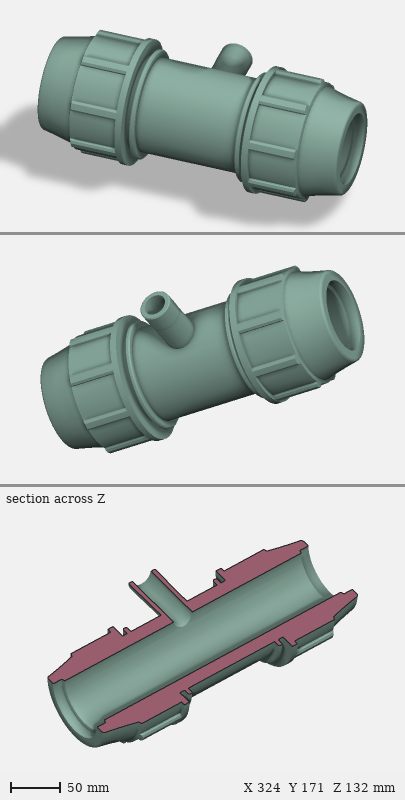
import cadquery as cq
import math

length = 324.0
half_length = length / 2

body_diameter = 99.0
bore_diameter = 67.5

socket_diameter = 75.0
socket_depth = 10.7
socket_cone_length = 1.3

nose_face_diameter = 91.5
nose_rim_diameter = 98.2
nose_rim_length = 3.2
nose_base_diameter = 114.7
nose_mid_diameter = 105.5
nose_length = 38.2
grip_diameter = 122.0
flange_start = 90.0
flange_end = 97.0
flange_diameter = 132.0

rib_count = 8
rib_diameter = 131.0
rib_front = 41.0
rib_width = 11.0
rib_bevel = 2.3
rib_root_overlap = 3.2

front_slope = (rib_front - nose_length) / (rib_diameter - nose_base_diameter)
grip_front = nose_length + front_slope * (grip_diameter - nose_base_diameter)

collar_start = 102.5
collar_end = 107.5
collar_diameter = 114.7
collar_chamfer = 1.3

branch_reach = 105.0
branch_root_diameter = 33.5
branch_tip_diameter = 34.0
branch_bore_diameter = 23.3
branch_tip_length = 19.5
branch_taper_length = 4.0
branch_tip_chamfer = 1.0


def axial_cylinder(diameter, start, end):
    """Solid cylinder along X between two places."""
    return cq.Workplane("YZ", origin=(start, 0, 0)).circle(diameter / 2).extrude(end - start)


def make_turned_nut(barrel_diameter, barrel_front):
    """Turned nut at the -X end: bulged nose, conical front face, grip barrel and flange."""
    rim_rounding = (nose_rim_diameter - nose_face_diameter) / 2
    rim_mid = math.sqrt(0.5)
    return (
        cq.Workplane("XY", origin=(-half_length, 0, 0))
        .moveTo(0, 0)
        .lineTo(0, nose_face_diameter / 2)
        .threePointArc(
            (nose_rim_length * (1 - rim_mid), nose_face_diameter / 2 + rim_rounding * rim_mid),
            (nose_rim_length, nose_rim_diameter / 2),
        )
        .threePointArc(
            ((nose_rim_length + nose_length) / 2, nose_mid_diameter / 2),
            (nose_length, nose_base_diameter / 2),
        )
        .lineTo(barrel_front, barrel_diameter / 2)
        .lineTo(flange_start, barrel_diameter / 2)
        .lineTo(flange_start, flange_diameter / 2)
        .lineTo(flange_end, flange_diameter / 2)
        .lineTo(flange_end, 0)
        .close()
        .revolve(360, (0, 0, 0), (1, 0, 0))
    )


def make_ribs():
    """Grip ribs with bevelled tops around the nut, sharing the nut's conical front face."""
    half_width = rib_width / 2
    half_top = half_width - rib_bevel
    root = nose_base_diameter / 2 - rib_root_overlap
    top = rib_diameter / 2
    shoulder = top - rib_bevel
    profile = [
        (root, -half_width),
        (shoulder, -half_width),
        (top, -half_top),
        (top, half_top),
        (shoulder, half_width),
        (root, half_width),
    ]
    rib_length = flange_start - nose_length
    rib = (
        cq.Workplane("YZ", origin=(nose_length - half_length, 0, 0))
        .polyline(profile)
        .close()
        .extrude(rib_length)
    )
    envelope = make_turned_nut(rib_diameter, rib_front)

    pitch = 360 / rib_count
    ribs = cq.Workplane("XY")
    for index in range(rib_count):
        ribs = ribs.add(rib.rotate((0, 0, 0), (1, 0, 0), (index + 0.5) * pitch))
    return ribs.combine().intersect(envelope)


def make_collar():
    """Ring around the body beside the nut, with both rims chamfered."""
    ring = axial_cylinder(collar_diameter, collar_start - half_length, collar_end - half_length)
    return ring.edges().chamfer(collar_chamfer)


def make_socket():
    """Cutter for the pipe entry at the -X end."""
    cone_end = socket_depth + socket_cone_length
    return (
        cq.Workplane("XY", origin=(-half_length, 0, 0))
        .lineTo(0, socket_diameter / 2)
        .lineTo(socket_depth, socket_diameter / 2)
        .lineTo(cone_end, bore_diameter / 2)
        .lineTo(cone_end, 0)
        .close()
        .revolve(360, (0, 0, 0), (1, 0, 0))
    )


def make_branch():
    """Side spigot, slightly thicker at its tip, with a chamfered end."""
    tip_radius = branch_tip_diameter / 2
    root_radius = branch_root_diameter / 2
    tip_start = branch_reach - branch_tip_length
    return (
        cq.Workplane("XY")
        .lineTo(root_radius, 0)
        .lineTo(root_radius, tip_start - branch_taper_length)
        .lineTo(tip_radius, tip_start)
        .lineTo(tip_radius, branch_reach - branch_tip_chamfer)
        .lineTo(tip_radius - branch_tip_chamfer, branch_reach)
        .lineTo(0, branch_reach)
        .close()
        .revolve(360, (0, 0, 0), (0, 1, 0))
    )


def on_both_ends(solid):
    """The given -X end feature together with its mirror at +X."""
    return solid.union(solid.mirror("YZ"))


nut = make_turned_nut(grip_diameter, grip_front).union(make_ribs())
body = axial_cylinder(body_diameter, flange_end - half_length, half_length - flange_end)
bore = axial_cylinder(bore_diameter, -half_length, half_length)
branch_bore = cq.Workplane("XZ").circle(branch_bore_diameter / 2).extrude(-branch_reach)

result = (
    body.union(on_both_ends(nut))
    .union(on_both_ends(make_collar()))
    .union(make_branch())
    .cut(bore)
    .cut(make_socket())
    .cut(make_socket().mirror("YZ"))
    .cut(branch_bore)
)